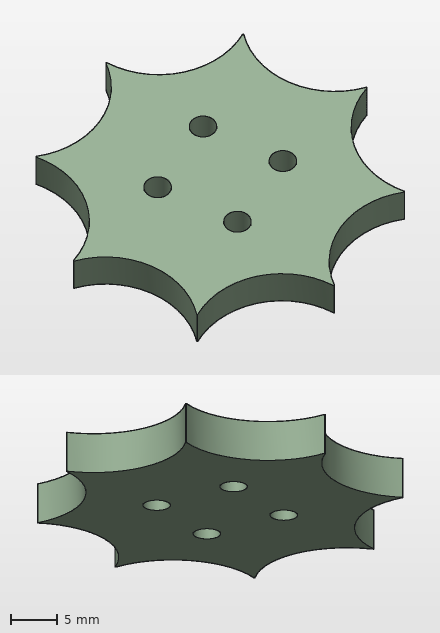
import cadquery as cq
import math

width = 37.0
thickness = 4.5
scallop_count = 8
scallop_radius = 10.0
scallop_center_distance = 24.98
hole_count = 4
hole_diameter = 2.95
hole_circle_radius = 7.0

tip_x = width / 2
tip_y = math.sqrt(scallop_radius**2 - (scallop_center_distance - tip_x) ** 2)
disc_radius = math.hypot(tip_x, tip_y)


def cylinders_on_circle(radius, circle_radius, count):
    """Upright cylinders spaced evenly about the Z axis, the first on +X."""
    return (
        cq.Workplane("XY")
        .polarArray(circle_radius, 0, 360, count)
        .circle(radius)
        .extrude(thickness)
    )


disc = cq.Workplane("XY").circle(disc_radius).extrude(thickness)
scallops = cylinders_on_circle(scallop_radius, scallop_center_distance, scallop_count)
holes = cylinders_on_circle(hole_diameter / 2, hole_circle_radius, hole_count)

result = disc.cut(scallops).cut(holes)